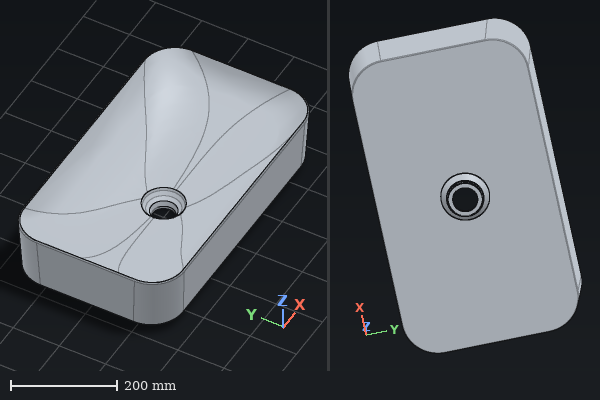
import cadquery as cq
import math

length = 600.0
width = 350.0
body_height = 116.0
total_height = 137.5
corner_radius = 69.0
wall_inset = 5.5
edge_radius = 2.0

rim_thickness = 3.5
bowl_depth = 100.0
bowl_sections = [
    (length - 2 * rim_thickness, width - 2 * rim_thickness, corner_radius - rim_thickness, 0),
    (524.0, 279.5, 87.0, 46.0),
    (414.0, 213.5, 84.0, 72.0),
    (271.0, 156.0, 69.0, 89.0),
    (85.0, 78.0, 36.0, bowl_depth),
]

drain_mouth_radius = 42.5
drain_hole_radius = 23.5
mouth_clearance = 6.0
drain_bore = [
    (drain_mouth_radius, bowl_depth),
    (40.0, 105.5),
    (34.0, 113.5),
    (27.0, 120.0),
    (drain_hole_radius, 131.0),
    (drain_hole_radius, total_height),
]
spout_radius = 32.5
spout_outside = [
    (46.0, body_height),
    (46.0, 118.0),
    (35.5, 128.0),
    (35.0, 132.0),
    (spout_radius, 132.0),
    (spout_radius, total_height),
]


def rounded_rectangle(size_x, size_y, radius, depth):
    """Closed outline centred on the Z axis at a depth below the rim."""
    return cq.Sketch().rect(size_x, size_y).vertices().fillet(radius).moved(
        cq.Location(cq.Vector(0, 0, -depth))
    )


def loft_levels(levels):
    """Smooth solid through rounded rectangles at increasing depths."""
    outlines = [rounded_rectangle(*level) for level in levels]
    return cq.Workplane("XY").placeSketch(*outlines).loft()


def revolve_profile(profile, top_depth):
    """Solid of revolution about Z, closed by the axis."""
    points = [(0, -top_depth)]
    points += [(radius, -depth) for radius, depth in profile]
    points.append((0, -profile[-1][1]))
    return cq.Workplane("XZ").polyline(points).close().revolve(360, (0, 0), (0, 1))


def make_body():
    """Block with rounded corners and leaning walls."""
    lean = math.atan(wall_inset / body_height)
    trim = edge_radius * (math.tan(lean) + 1 / math.cos(lean) - 1)
    rim = (length + 2 * trim, width + 2 * trim, corner_radius, 0)
    base = (length - 2 * wall_inset, width - 2 * wall_inset, corner_radius, body_height)
    return loft_levels([rim, base]).faces("<Z or >Z").edges().fillet(edge_radius)


def make_drain_bore():
    """Stepped funnel, starting above the bowl floor to clear its rising edge."""
    mouth_top = bowl_depth - mouth_clearance
    return revolve_profile([(drain_mouth_radius, mouth_top)] + drain_bore, mouth_top)


spout = revolve_profile(spout_outside, body_height)
bowl = loft_levels(bowl_sections)
result = make_body().union(spout).cut(bowl).cut(make_drain_bore())